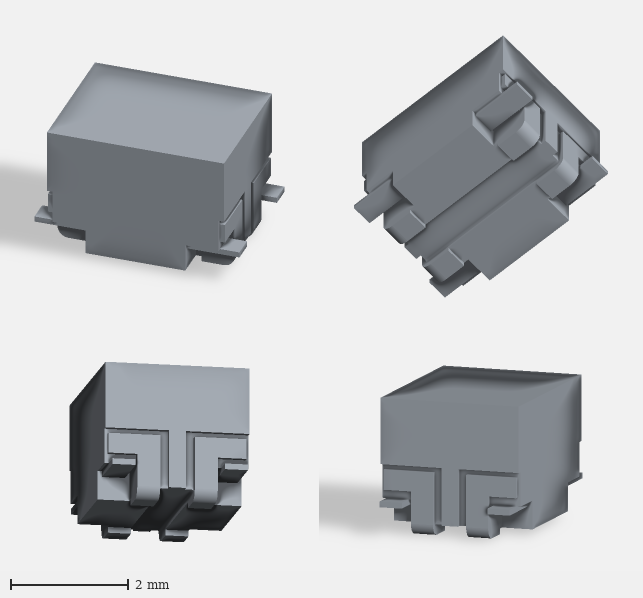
import cadquery as cq

overall_length = 3.7
body_width = 2.5
overall_height = 2.35
metal_thickness = 0.1
tab_overhang = 0.25

body_length = overall_length - 2 * tab_overhang
body_end = body_length / 2
body_side = body_width / 2
body_bottom = metal_thickness

lead_inner_y = 0.3
lead_width = 0.4
lead_outer_y = lead_inner_y + lead_width
lead_top = 1.105
arm_bottom = 0.76
arm_tip_y = 1.2
foot_length = 0.6
inner_bend_radius = 0.1
outer_bend_radius = inner_bend_radius + metal_thickness

rib_width = 0.3
pocket_top = 1.2
pocket_floor = body_end - metal_thickness
notch_length = 0.7
notch_ceiling = 0.6
notch_end = body_end - notch_length
channel_ceiling = body_bottom + inner_bend_radius
channel_fillet = 0.037

tab_width = 0.4
tab_center_y = (lead_outer_y + body_side) / 2

QUADRANTS = [(-1, -1), (-1, 1), (1, -1), (1, 1)]


def box_between(x_range, y_range, z_range):
    """Box spanning the given low and high limits on each axis."""
    lengths = [high - low for low, high in (x_range, y_range, z_range)]
    corner = (x_range[0], y_range[0], z_range[0])
    return cq.Workplane("XY").box(*lengths, centered=False).translate(corner)


def place_in_quadrant(shape, x_side, y_side):
    """Mirror a shape from the +X +Y quadrant into the chosen quadrant."""
    if x_side < 0:
        shape = shape.mirror("YZ")
    if y_side < 0:
        shape = shape.mirror("XZ")
    return shape


def make_lead_pocket():
    """Shallow recess in the end face that also rounds the body under the lead bend."""
    y_range = (rib_width / 2, body_side)
    bend_center_x = pocket_floor - inner_bend_radius
    pocket = box_between((pocket_floor, body_end), y_range, (body_bottom, pocket_top))
    bend_corner = box_between((bend_center_x, pocket_floor), y_range, (body_bottom, channel_ceiling))
    bend_cylinder = (
        cq.Workplane("XZ", origin=(bend_center_x, y_range[0], channel_ceiling))
        .circle(inner_bend_radius)
        .extrude(-(y_range[1] - y_range[0]))
    )
    return pocket.union(bend_corner.cut(bend_cylinder))


def make_tab_notch():
    """Corner cut-out under the body that houses a flat tab."""
    return box_between(
        (notch_end, body_end), (lead_outer_y, body_side), (body_bottom, notch_ceiling)
    )


def make_channel():
    """Channel along the underside, between the two rows of leads."""
    channel = box_between(
        (-body_end, body_end), (-lead_inner_y, lead_inner_y), (body_bottom, channel_ceiling)
    )
    return channel.edges("|X and >Z").fillet(channel_fillet)


def make_body():
    body = box_between(
        (-body_end, body_end), (-body_side, body_side), (body_bottom, overall_height)
    )
    body = body.cut(make_channel())
    for x_side, y_side in QUADRANTS:
        body = body.cut(place_in_quadrant(make_lead_pocket(), x_side, y_side))
        body = body.cut(place_in_quadrant(make_tab_notch(), x_side, y_side))
    return body


def make_lead(x_side, y_side):
    """Strip bent under the body, with an arm reaching sideways at its top."""
    strip = (
        cq.Workplane("XZ", origin=(0, lead_inner_y, 0))
        .moveTo(body_end, lead_top)
        .lineTo(body_end, outer_bend_radius)
        .radiusArc((body_end - outer_bend_radius, 0), outer_bend_radius)
        .lineTo(body_end - foot_length, 0)
        .lineTo(body_end - foot_length, metal_thickness)
        .lineTo(pocket_floor - inner_bend_radius, metal_thickness)
        .radiusArc((pocket_floor, outer_bend_radius), -inner_bend_radius)
        .lineTo(pocket_floor, lead_top)
        .close()
        .extrude(-lead_width)
    )
    arm = box_between((pocket_floor, body_end), (lead_inner_y, arm_tip_y), (arm_bottom, lead_top))
    return place_in_quadrant(strip.union(arm), x_side, y_side)


def make_tab(x_side, y_side):
    """Flat tab lying against the notch ceiling and reaching out past the body end."""
    tab = box_between(
        (notch_end, overall_length / 2),
        (tab_center_y - tab_width / 2, tab_center_y + tab_width / 2),
        (notch_ceiling - metal_thickness, notch_ceiling),
    )
    return place_in_quadrant(tab, x_side, y_side)


body = make_body()
leads = [make_lead(x_side, y_side) for x_side, y_side in QUADRANTS]
tabs = [make_tab(x_side, y_side) for x_side, y_side in QUADRANTS]

solids = [part.val() for part in [body, *leads, *tabs]]
result = cq.Compound.makeCompound(solids)